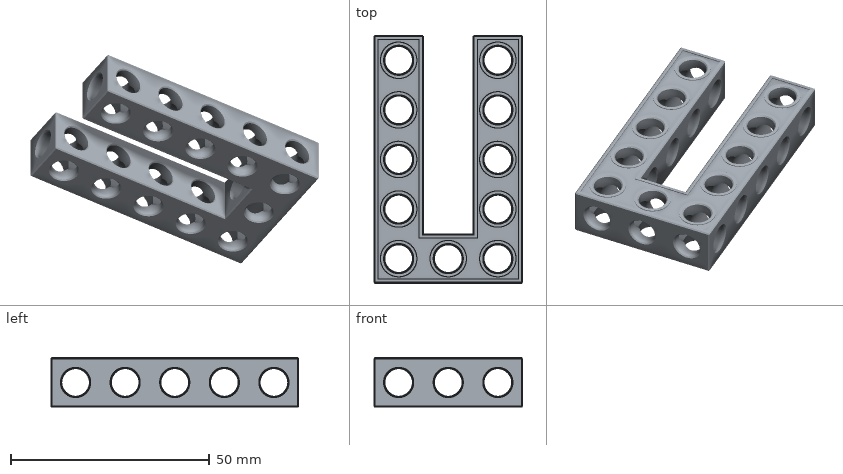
import cadquery as cq

pitch = 12.5
columns = 3
rows = 5
edge_chamfer = 0.3
bore_diameter = 7.0
mouth_chamfer = 0.3
rim_width = 1.05
collar_diameter = 9.2
recess_depth = 0.2

width = columns * pitch
length = rows * pitch
height = pitch
slot_width = width - 2 * pitch
slot_length = length - pitch
slot_end_y = length / 2 - slot_length
bore_mouth_diameter = bore_diameter + 2 * mouth_chamfer
overcut = 0.6

column_places = [(i - (columns - 1) / 2) * pitch for i in range(columns)]
row_places = [(j - (rows - 1) / 2) * pitch for j in range(rows)]
top_hole_places = [
    (x, y)
    for x in column_places
    for y in row_places
    if abs(x) > slot_width / 2 or y == row_places[0]
]


def u_prism(inset, bottom, top):
    """U-shaped prism, open toward +Y, with its whole outline moved inward by inset."""
    outer_x = width / 2 - inset
    inner_x = slot_width / 2 + inset
    front_y = -length / 2 + inset
    back_y = length / 2 - inset
    slot_y = slot_end_y - inset
    outline = [
        (-outer_x, front_y),
        (outer_x, front_y),
        (outer_x, back_y),
        (inner_x, back_y),
        (inner_x, slot_y),
        (-inner_x, slot_y),
        (-inner_x, back_y),
        (-outer_x, back_y),
    ]
    return cq.Workplane("XY").workplane(offset=bottom).polyline(outline).close().extrude(top - bottom)


def top_recess():
    """Shallow recess in the top face, leaving a border and a collar around each hole."""
    floor = height / 2 - recess_depth
    collars = (
        cq.Workplane("XY")
        .workplane(offset=floor)
        .pushPoints(top_hole_places)
        .circle(collar_diameter / 2)
        .extrude(recess_depth + overcut)
    )
    return u_prism(rim_width, floor, height / 2 + overcut).cut(collars)


def bore(start, direction, depth):
    """Straight bore from one face to the opposite one, with a chamfered mouth at each end."""
    axis = cq.Vector(*direction)
    entry = cq.Vector(*start)
    end = entry + axis * depth
    bore_radius = bore_diameter / 2
    mouth_radius = bore_mouth_diameter / 2
    shaft = cq.Solid.makeCylinder(bore_radius, depth + 2 * overcut, entry - axis * overcut, axis)
    entry_mouth = cq.Solid.makeCone(mouth_radius, bore_radius, mouth_chamfer, entry, axis)
    end_mouth = cq.Solid.makeCone(mouth_radius, bore_radius, mouth_chamfer, end, axis * -1)
    return [shaft, entry_mouth, end_mouth]


slot_corners = cq.selectors.BoxSelector(
    (-slot_width / 2 - overcut, slot_end_y - overcut, -overcut),
    (slot_width / 2 + overcut, slot_end_y + overcut, overcut),
)
body = u_prism(0, -height / 2, height / 2)
body = body.edges(cq.selectors.InverseSelector(slot_corners)).chamfer(edge_chamfer)
body = body.cut(top_recess())

cutters = []
for x, y in top_hole_places:
    cutters += bore((x, y, -height / 2), (0, 0, 1), height)

for y in row_places:
    if y == row_places[0]:
        cutters += bore((-width / 2, y, 0), (1, 0, 0), width)
    else:
        for arm_start in (-width / 2, slot_width / 2):
            cutters += bore((arm_start, y, 0), (1, 0, 0), pitch)

for x in column_places:
    run = length if abs(x) > slot_width / 2 else length - slot_length
    cutters += bore((x, -length / 2, 0), (0, 1, 0), run)

for cutter in cutters:
    body = body.cut(cq.Workplane(cutter))

result = body